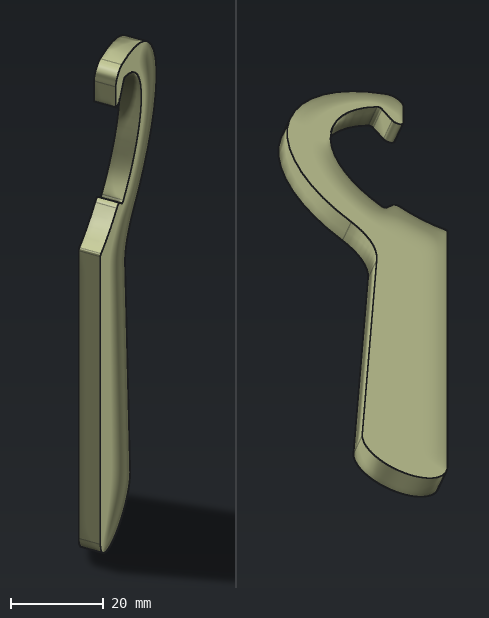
import cadquery as cq
import math


thickness = 5.0
overall_width = 37.61

nut_radius = 22.7
relief_radius = 27.4
back_radius = 37.1
back_center_y = overall_width - back_radius
back_center_z = -5.15
tooth_face_y = 10.3
tooth_angle = 35.5
seat_angle = 32.5

handle_end_radius = 10.0
handle_end_z = -140.52
handle_taper = 2.37

hook_end_fillet = 3.0
tooth_tip_fillet = 1.5
relief_fillet = 0.8
seat_fillet = 1.4
handle_corner_fillet = 0.5
neck_fillet = 15.0


def polar(radius, degrees_from_z):
    """Point around the nut centre; the angle runs from +Z towards +Y."""
    angle = math.radians(degrees_from_z)
    return (radius * math.sin(angle), radius * math.cos(angle))


def on_back(degrees_from_y):
    """Point on the back arc; the angle runs from +Y towards +Z."""
    angle = math.radians(degrees_from_y)
    return (
        back_center_y + back_radius * math.cos(angle),
        back_center_z + back_radius * math.sin(angle),
    )


end_center_y = handle_end_radius
end_center_z = handle_end_z + handle_end_radius
taper = math.radians(handle_taper)
back_edge_start = (
    end_center_y + handle_end_radius * math.cos(taper),
    end_center_z + handle_end_radius * math.sin(taper),
)
end_bottom = (end_center_y, handle_end_z)

edge_direction = (-math.sin(taper), math.cos(taper))
offset_y = back_edge_start[0] - back_center_y
offset_z = back_edge_start[1] - back_center_z
along = offset_y * edge_direction[0] + offset_z * edge_direction[1]
excess = offset_y**2 + offset_z**2 - back_radius**2
edge_length = -along - math.sqrt(along**2 - excess)
neck = (
    back_edge_start[0] + edge_length * edge_direction[0],
    back_edge_start[1] + edge_length * edge_direction[1],
)

hook_end_rise = math.sqrt(back_radius**2 - (tooth_face_y - back_center_y) ** 2)
hook_end = (tooth_face_y, back_center_z + hook_end_rise)
tooth_tip = (tooth_face_y, tooth_face_y / math.tan(math.radians(tooth_angle)))
tooth_root = polar(relief_radius, tooth_angle)

seat_root = polar(relief_radius, 180 - seat_angle)
seat_tip = polar(nut_radius, 180 - seat_angle)
handle_corner = (0, -nut_radius)

profile = (
    cq.Workplane("YZ")
    .moveTo(0, end_center_z)
    .threePointArc(end_bottom, back_edge_start)
    .lineTo(*neck)
    .threePointArc(on_back(0), hook_end)
    .lineTo(*tooth_tip)
    .lineTo(*tooth_root)
    .threePointArc((relief_radius, 0), seat_root)
    .lineTo(*seat_tip)
    .threePointArc(polar(nut_radius, 180 - seat_angle / 2), handle_corner)
    .close()
)
result = profile.extrude(thickness / 2, both=True)

corner_fillets = [
    (neck, neck_fillet),
    (hook_end, hook_end_fillet),
    (tooth_tip, tooth_tip_fillet),
    (tooth_root, relief_fillet),
    (seat_root, relief_fillet),
    (seat_tip, seat_fillet),
    (handle_corner, handle_corner_fillet),
]
for (corner_y, corner_z), radius in corner_fillets:
    corner_edge = cq.selectors.NearestToPointSelector((0, corner_y, corner_z))
    result = result.edges("|X").edges(corner_edge).fillet(radius)